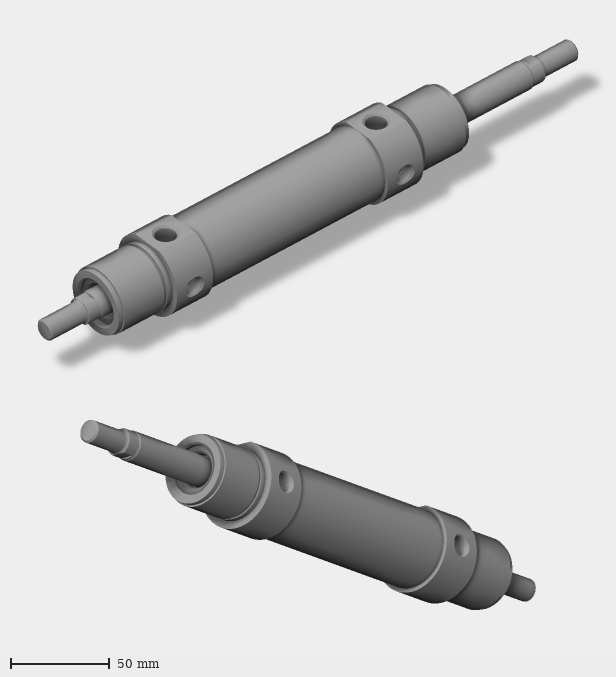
import cadquery as cq


tube_outer_diameter = 41.6
tube_bore = 40.0
tube_half_length = 56.0

collar_diameter = 46.0
collar_width = 24.0
collar_centre = 70.0
collar_outer = collar_centre + collar_width / 2
collar_inner = collar_centre - collar_width / 2
nose_end = 116.5
nose_diameter = 38.0
nose_step_diameter = 36.0
nose_step_length = 3.0
relief_diameter = 36.0
relief_width = 2.0
relief_start = collar_outer + 3.0
relief_end = relief_start + relief_width
spigot_depth = 10.0

rod_diameter = 16.0
recess_diameter = 26.0
recess_depth = 3.0
recess_chamfer = 1.0
opening_mouth_diameter = 20.0
opening_diameter = 18.0
opening_chamfer = (opening_mouth_diameter - opening_diameter) / 2
opening_depth = 5.0

flat_height = 21.0
port_diameter = 11.45
port_mouth_diameter = 14.0
port_chamfer = (port_mouth_diameter - port_diameter) / 2
port_depth = flat_height

side_hole_diameter = 10.0
side_hole_mouth_diameter = 12.0
side_hole_mouth_depth = 0.5
side_hole_chamfer = (side_hole_mouth_diameter - side_hole_diameter) / 2
side_hole_depth = 8.0

rear_reach = 200.2
overall_length = 351.0
front_reach = overall_length - rear_reach
stud_length = 23.7
stud_diameter = 12.0
stud_tip_diameter = 10.0
stud_tip_chamfer = (stud_diameter - stud_tip_diameter) / 2
stud_root_diameter = 13.0
stud_root_length = 1.0
neck_diameter = 15.0
neck_length = 7.8
neck_tip_diameter = 14.6
neck_tip_chamfer = 0.6
neck_taper = 1.0
flats_length = neck_length - 1.0
flats_width = 13.0

cut_margin = 1.0


def turned(profile):
    """Revolve (diameter, y) points about the Y axis."""
    points = [(diameter / 2, y) for diameter, y in profile]
    return cq.Workplane("XY").polyline(points).close().revolve(360, (0, 0, 0), (0, 1, 0))


def hole_cutter(diameter, depth, mouth_diameter, mouth_depth, chamfer):
    """Hole with a chamfered mouth, going down from Z = 0."""
    return turned([
        (0, cut_margin),
        (mouth_diameter, cut_margin),
        (mouth_diameter, -mouth_depth),
        (diameter, -mouth_depth - chamfer),
        (diameter, -depth),
        (0, -depth),
    ]).rotate((0, 0, 0), (1, 0, 0), 90)


def make_tube():
    return turned([
        (tube_bore, -tube_half_length),
        (tube_outer_diameter, -tube_half_length),
        (tube_outer_diameter, tube_half_length),
        (tube_bore, tube_half_length),
    ])


def make_head_blank():
    """Turned shape of the +Y head."""
    recess_floor = nose_end - recess_depth
    return turned([
        (rod_diameter, tube_half_length - spigot_depth),
        (tube_bore, tube_half_length - spigot_depth),
        (tube_bore, tube_half_length),
        (tube_outer_diameter, tube_half_length),
        (tube_outer_diameter, collar_inner),
        (collar_diameter, collar_inner),
        (collar_diameter, collar_outer),
        (nose_diameter, collar_outer),
        (nose_diameter, relief_start),
        (relief_diameter, relief_start),
        (relief_diameter, relief_end),
        (nose_diameter, relief_end),
        (nose_diameter, nose_end - nose_step_length),
        (nose_step_diameter, nose_end - nose_step_length),
        (nose_step_diameter, nose_end),
        (recess_diameter + 2 * recess_chamfer, nose_end),
        (recess_diameter, nose_end - recess_chamfer),
        (recess_diameter, recess_floor),
        (opening_mouth_diameter, recess_floor),
        (opening_diameter, recess_floor - opening_chamfer),
        (opening_diameter, recess_floor - opening_depth),
        (rod_diameter, recess_floor - opening_depth),
    ])


def make_head():
    """Head on the +Y end, with its port flat, air port and side holes."""
    above_flat = (
        cq.Workplane("XY", origin=(0, collar_centre, flat_height))
        .rect(collar_diameter, collar_width)
        .extrude(collar_diameter / 2)
    )
    port = hole_cutter(port_diameter, port_depth, port_mouth_diameter, 0, port_chamfer)
    head = make_head_blank().cut(above_flat).cut(port.translate((0, collar_centre, flat_height)))

    side_hole = hole_cutter(
        side_hole_diameter,
        side_hole_depth,
        side_hole_mouth_diameter,
        side_hole_mouth_depth,
        side_hole_chamfer,
    )
    for side in (-1, 1):
        turned_sideways = side_hole.rotate((0, 0, 0), (0, 1, 0), side * 90)
        head = head.cut(turned_sideways.translate((side * collar_diameter / 2, collar_centre, 0)))
    return head


def make_rod(reach):
    """Rod from the middle of the cylinder to a stud tip at Y = reach."""
    shoulder = reach - stud_length
    neck_start = shoulder - neck_length
    rod = turned([
        (0, 0),
        (rod_diameter, 0),
        (rod_diameter, neck_start - neck_taper),
        (neck_diameter, neck_start),
        (neck_diameter, shoulder - neck_tip_chamfer),
        (neck_tip_diameter, shoulder),
        (stud_root_diameter, shoulder),
        (stud_diameter, shoulder + stud_root_length),
        (stud_diameter, reach - stud_tip_chamfer),
        (stud_tip_diameter, reach),
        (0, reach),
    ])
    outside_flat = (
        cq.Workplane("XY", origin=(0, shoulder - flats_length / 2, flats_width / 2))
        .rect(rod_diameter, flats_length)
        .extrude(rod_diameter)
    )
    return rod.cut(outside_flat).cut(outside_flat.mirror("XY"))


tube = make_tube()
rear_head = make_head()
front_head = rear_head.mirror("XZ")
rear_rod = make_rod(rear_reach)
front_rod = make_rod(front_reach).mirror("XZ")

result = cq.Compound.makeCompound(
    [tube.val(), rear_head.val(), front_head.val(), rear_rod.val(), front_rod.val()]
)